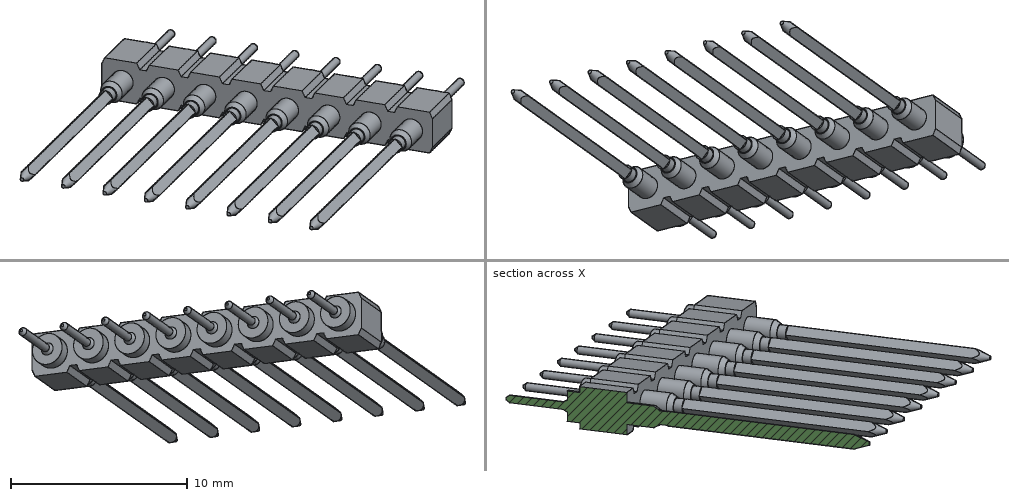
import cadquery as cq

PIN_COUNT = 8
PITCH = 2.54
PIN_POSITIONS = [(index - (PIN_COUNT - 1) / 2) * PITCH for index in range(PIN_COUNT)]

STRIP_LENGTH = PIN_COUNT * PITCH
STRIP_HEIGHT = PITCH
STRIP_DEPTH = 2.92
END_BEVEL_RUN = 0.18
BEVEL_DROP = 0.38
NOTCH_MOUTH_WIDTH = 0.78
NOTCH_FLOOR_WIDTH = 0.40

COLLAR_DIAMETER = 1.83
COLLAR_LENGTH = 0.77
TAIL_BASE_DIAMETER = 0.72
TAIL_BASE_LENGTH = 0.25
TAIL_DIAMETER = 0.47
TAIL_TIP_DIAMETER = 0.14
TAIL_TIP_LENGTH = 0.22
TAIL_END_Y = 7.45

OVERALL_LENGTH = 22.36
BARREL_DIAMETER = 1.32
BARREL_LENGTH = 1.63
SHOULDER_DIAMETER = 0.95
SHOULDER_LENGTH = 0.34
NECK_DIAMETER = 0.84
NECK_LENGTH = 0.52
POST_SIDE = 0.635
POST_DIAGONAL = POST_SIDE * 2 ** 0.5
POST_TIP_DIAMETER = 0.22
POST_TIP_LENGTH = 0.95

COLLAR_END_Y = STRIP_DEPTH + COLLAR_LENGTH
BARREL_END_Y = -BARREL_LENGTH
SHOULDER_END_Y = BARREL_END_Y - SHOULDER_LENGTH
POST_START_Y = SHOULDER_END_Y - NECK_LENGTH
POST_END_Y = TAIL_END_Y - OVERALL_LENGTH
POST_TAPER_Y = POST_END_Y + POST_TIP_LENGTH


def revolve_about_pin_axis(stations):
    """Solid of revolution about Y from (diameter, y) pairs."""
    outline = [(diameter / 2, y) for diameter, y in stations]
    profile = [(0, outline[0][1])] + outline + [(0, outline[-1][1])]
    return cq.Workplane("XY").polyline(profile).close().revolve(360, (0, 0, 0), (0, 1, 0))


def make_strip():
    """Bar with bevelled end edges and a trapezoidal notch between neighbouring pins, top and bottom."""
    half_length = STRIP_LENGTH / 2
    half_height = STRIP_HEIGHT / 2
    flat_end = half_length - END_BEVEL_RUN
    bevel_foot = half_height - BEVEL_DROP
    bar = (
        cq.Workplane("XZ")
        .polyline([
            (-flat_end, half_height), (flat_end, half_height),
            (half_length, bevel_foot), (half_length, -bevel_foot),
            (flat_end, -half_height), (-flat_end, -half_height),
            (-half_length, -bevel_foot), (-half_length, bevel_foot),
        ])
        .close()
        .extrude(-STRIP_DEPTH)
    )
    half_mouth = NOTCH_MOUTH_WIDTH / 2
    half_floor = NOTCH_FLOOR_WIDTH / 2
    for pin_x in PIN_POSITIONS[:-1]:
        notch_x = pin_x + PITCH / 2
        for side in (1, -1):
            notch = (
                cq.Workplane("XZ")
                .polyline([
                    (notch_x - half_mouth, side * half_height),
                    (notch_x - half_floor, side * bevel_foot),
                    (notch_x + half_floor, side * bevel_foot),
                    (notch_x + half_mouth, side * half_height),
                ])
                .close()
                .extrude(-STRIP_DEPTH)
            )
            bar = bar.cut(notch)
    return bar


def make_post():
    """Square post standing on its edge, with a conical point."""
    length = POST_START_Y - POST_END_Y
    square = (
        cq.Workplane("XZ", origin=(0, POST_START_Y, 0))
        .transformed(rotate=(0, 0, 45))
        .rect(POST_SIDE, POST_SIDE)
        .extrude(length)
    )
    point_envelope = revolve_about_pin_axis([
        (POST_TIP_DIAMETER, POST_END_Y),
        (POST_DIAGONAL, POST_TAPER_Y),
        (POST_DIAGONAL, POST_START_Y),
    ])
    return square.intersect(point_envelope)


def make_pin():
    """Turned body with its solder tail, plus the square post."""
    turned = revolve_about_pin_axis([
        (NECK_DIAMETER, POST_START_Y),
        (NECK_DIAMETER, SHOULDER_END_Y),
        (SHOULDER_DIAMETER, SHOULDER_END_Y),
        (BARREL_DIAMETER, BARREL_END_Y),
        (BARREL_DIAMETER, STRIP_DEPTH),
        (COLLAR_DIAMETER, STRIP_DEPTH),
        (COLLAR_DIAMETER, COLLAR_END_Y),
        (TAIL_BASE_DIAMETER, COLLAR_END_Y),
        (TAIL_DIAMETER, COLLAR_END_Y + TAIL_BASE_LENGTH),
        (TAIL_DIAMETER, TAIL_END_Y - TAIL_TIP_LENGTH),
        (TAIL_TIP_DIAMETER, TAIL_END_Y),
    ])
    return turned.union(make_post())


result = make_strip()
pin = make_pin()
for pin_x in PIN_POSITIONS:
    result = result.union(pin.translate((pin_x, 0, 0)))